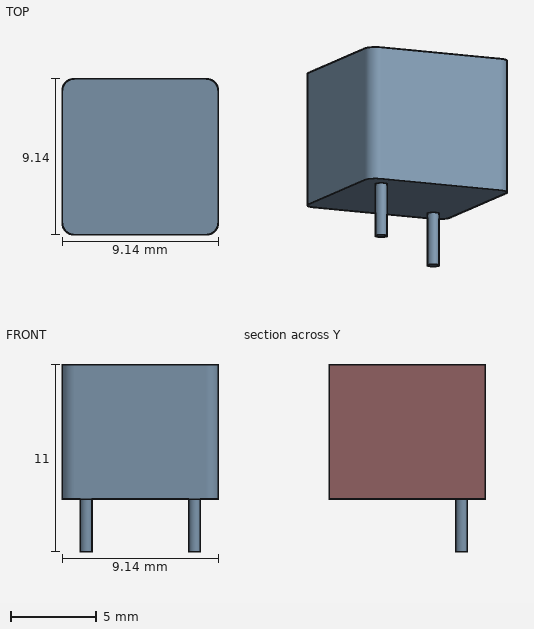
import cadquery as cq

body_side = 9.14
total_height = 10.97
pin_length = 3.1
corner_radius = 0.7
pin_diameter = 0.7
pin_pitch = 6.35

body_height = total_height - pin_length
pin_offset = pin_pitch / 2


def make_body():
    """Square block standing on Z = 0 with rounded vertical edges."""
    block = cq.Workplane("XY").box(body_side, body_side, body_height, centered=(True, True, False))
    return block.edges("|Z").fillet(corner_radius)


def make_pins():
    """Two round pins below the body, at diagonally opposite corners."""
    pin_centers = [(-pin_offset, -pin_offset), (pin_offset, pin_offset)]
    return cq.Workplane("XY").pushPoints(pin_centers).circle(pin_diameter / 2).extrude(-pin_length)


result = make_body().union(make_pins())